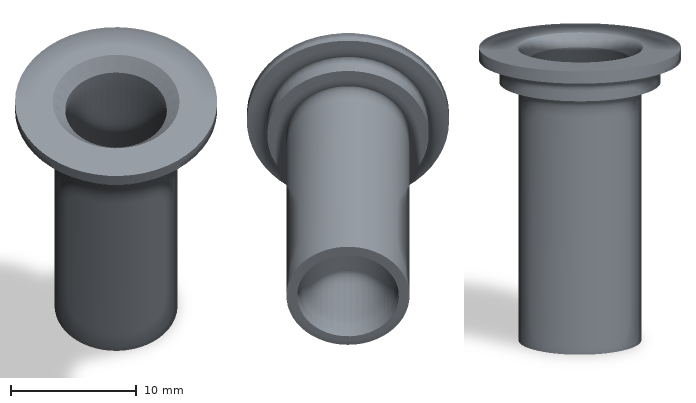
import cadquery as cq

total_height = 24.0
tube_diameter = 9.8
collar_diameter = 12.85
collar_thickness = 1.85
flange_diameter = 16.1
flange_thickness = 1.0
bore_diameter = 8.1
countersink_diameter = 10.1
countersink_angle = 90.0

flange_bottom = total_height - flange_thickness
collar_bottom = flange_bottom - collar_thickness


def cylinder(diameter, bottom, top):
    """Solid cylinder on the Z axis between two heights."""
    return cq.Workplane("XY").workplane(offset=bottom).circle(diameter / 2).extrude(top - bottom)


tube = cylinder(tube_diameter, 0, collar_bottom)
collar = cylinder(collar_diameter, collar_bottom, flange_bottom)
flange = cylinder(flange_diameter, flange_bottom, total_height)
body = tube.union(collar).union(flange)

result = body.faces(">Z").workplane().cskHole(bore_diameter, countersink_diameter, countersink_angle)